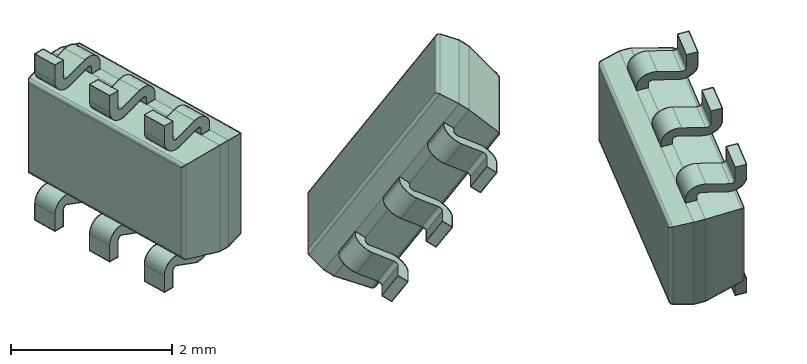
import cadquery as cq
import math


body_length = 2.9
body_width = 1.6
body_height = 1.0
standoff = 0.1
draft_angle = 10.0
face_edge_radius = 0.05

lead_thickness = 0.15
lead_width = 0.35
lead_pitch = 0.95
leads_per_side = 3
lead_span = 2.5
foot_length = 0.25
inner_bend_radius = 0.05
slope_angle = math.radians(20.0)

band_back = 0.8
band_front = band_back - lead_thickness

outer_bend_radius = inner_bend_radius + lead_thickness


def make_half(start_y, direction, depth):
    """One tapered half of the body, growing along Y from the parting band."""
    plane = cq.Plane(origin=(0, start_y, 0), xDir=(1, 0, 0), normal=(0, direction, 0))
    return cq.Workplane(plane).rect(body_length, body_width).extrude(depth, taper=draft_angle)


def make_body():
    """Body: a straight parting band between two tapered halves with rounded end faces."""
    body_back = standoff + body_height
    band = (
        cq.Workplane("XY")
        .box(body_length, lead_thickness, body_width)
        .translate((0, (band_front + band_back) / 2, 0))
    )
    front_half = make_half(band_front, -1, band_front - standoff)
    back_half = make_half(band_back, 1, body_back - band_back)
    body = band.union(front_half).union(back_half)
    return body.faces("<Y or >Y").edges().fillet(face_edge_radius)


def on_circle(center, radius, angle):
    """Point (Y, Z) at an angle, measured from +Y towards +Z, on a circle."""
    return (center[0] + radius * math.cos(angle), center[1] + radius * math.sin(angle))


def make_lead(x, side):
    """Gull-wing lead centred at x, on the +Z side (side = 1) or the -Z side (side = -1)."""
    root_z = body_width / 2
    tip_z = lead_span / 2

    foot_center = (outer_bend_radius, tip_z - foot_length)
    shoulder_y = band_back - outer_bend_radius
    radius_sum = outer_bend_radius + inner_bend_radius
    bend_distance = shoulder_y - foot_center[0]
    slope_length = (bend_distance - radius_sum * math.sin(slope_angle)) / math.cos(slope_angle)
    shoulder_rise = slope_length * math.sin(slope_angle) - radius_sum * math.cos(slope_angle)
    shoulder_center = (shoulder_y, foot_center[1] + shoulder_rise)

    shoulder_end = math.pi / 2 + slope_angle
    shoulder_angles = (0, shoulder_end / 2, shoulder_end)
    foot_start = slope_angle - math.pi / 2
    foot_angles = (foot_start, (foot_start - math.pi) / 2, -math.pi)

    shoulder_outer = [on_circle(shoulder_center, outer_bend_radius, a) for a in shoulder_angles]
    shoulder_inner = [on_circle(shoulder_center, inner_bend_radius, a) for a in shoulder_angles]
    foot_outer = [on_circle(foot_center, outer_bend_radius, a) for a in foot_angles]
    foot_inner = [on_circle(foot_center, inner_bend_radius, a) for a in foot_angles]

    lead = (
        cq.Workplane("YZ")
        .moveTo(band_back, root_z)
        .lineTo(*shoulder_outer[0])
        .threePointArc(shoulder_outer[1], shoulder_outer[2])
        .lineTo(*foot_inner[0])
        .threePointArc(foot_inner[1], foot_inner[2])
        .lineTo(lead_thickness, tip_z)
        .lineTo(0, tip_z)
        .lineTo(*foot_outer[2])
        .threePointArc(foot_outer[1], foot_outer[0])
        .lineTo(*shoulder_inner[2])
        .threePointArc(shoulder_inner[1], shoulder_inner[0])
        .lineTo(band_front, root_z)
        .close()
        .extrude(lead_width / 2, both=True)
        .translate((x, 0, 0))
    )
    if side < 0:
        lead = lead.mirror("XY")
    return lead


body = make_body()

leads = []
for index in range(leads_per_side):
    lead_x = (index - (leads_per_side - 1) / 2) * lead_pitch
    for side in (1, -1):
        leads.append(make_lead(lead_x, side))

result = cq.Compound.makeCompound([body.val(), *[lead.val() for lead in leads]])